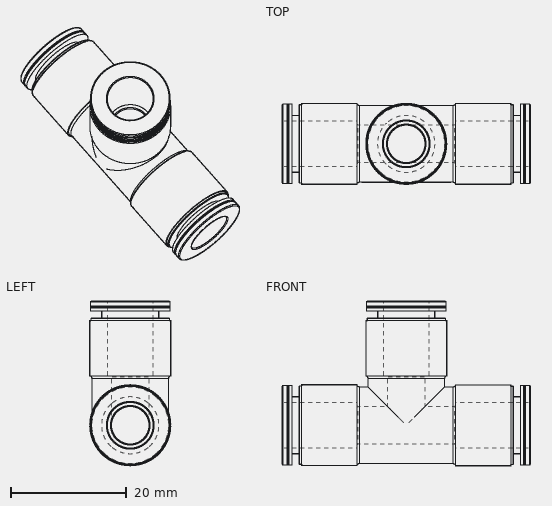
import cadquery as cq

leg_length = 43 / 2

pipe_diameter = 13.3
body_diameter = 14.0
body_shoulder_diameter = 13.6
flange_diameter = 13.8
groove_diameter = 13.6
neck_diameter = 9.9
tube_bore_diameter = 7.9
tube_mouth_diameter = 8.25
passage_diameter = 6.5
passage_mouth_diameter = 6.85

outer_flange_end = 0.9
inner_flange_start = 1.2
inner_flange_end = 1.75
shoulder_start = 2.92
body_start = 3.4
body_end = 13.0
tube_stop_depth = 13.0

flange_chamfer = 0.17
shoulder_chamfer = 0.15
body_rear_bevel = 0.45
mouth_bevel = (tube_mouth_diameter - tube_bore_diameter) / 2
passage_bevel = (passage_mouth_diameter - passage_diameter) / 2


def revolve_profile(points):
    """Revolve (diameter, height) points about the Z axis, closing along the axis."""
    outline = [(diameter / 2, height) for diameter, height in points]
    return cq.Workplane("XZ").polyline(outline).close().revolve(360, (0, 0), (0, 1))


def leg_pipe():
    """Plain centre pipe from the origin up to the body sleeve, along +Z."""
    return cq.Workplane("XY").circle(pipe_diameter / 2).extrude(leg_length - body_end)


def leg_end():
    """Body sleeve, neck and double-flanged release ring, along +Z."""
    groove_middle = (outer_flange_end + inner_flange_start) / 2
    stations = [
        (0, body_end + body_rear_bevel),
        (pipe_diameter, body_end + body_rear_bevel),
        (body_shoulder_diameter, body_end),
        (body_diameter, body_end),
        (body_diameter, body_start),
        (body_shoulder_diameter, body_start),
        (body_shoulder_diameter, shoulder_start + shoulder_chamfer),
        (body_shoulder_diameter - 2 * shoulder_chamfer, shoulder_start),
        (neck_diameter, shoulder_start),
        (neck_diameter, inner_flange_end),
        (flange_diameter, inner_flange_end),
        (flange_diameter, inner_flange_start),
        (groove_diameter, groove_middle),
        (flange_diameter, outer_flange_end),
        (flange_diameter, flange_chamfer),
        (flange_diameter - 2 * flange_chamfer, 0),
        (0, 0),
    ]
    return revolve_profile([(diameter, leg_length - depth) for diameter, depth in stations])


def leg_bore():
    """Tube socket with a bevelled mouth, a stop ledge and the narrower passage, along +Z."""
    stations = [
        (0, leg_length),
        (passage_diameter, leg_length),
        (passage_diameter, tube_stop_depth + passage_bevel),
        (passage_mouth_diameter, tube_stop_depth),
        (tube_bore_diameter, tube_stop_depth),
        (tube_bore_diameter, mouth_bevel),
        (tube_mouth_diameter, 0),
        (0, 0),
    ]
    return revolve_profile([(diameter, leg_length - depth) for diameter, depth in stations])


leg_tilts = (-90, 0, 90)


def on_every_leg(shape):
    """Join copies of a +Z leg shape turned towards -X, +Z and +X."""
    joined = cq.Workplane("XY")
    for tilt in leg_tilts:
        joined = joined.union(shape.rotate((0, 0, 0), (0, 1, 0), tilt))
    return joined


outside = on_every_leg(leg_pipe().union(leg_end()))
result = outside.cut(on_every_leg(leg_bore()))